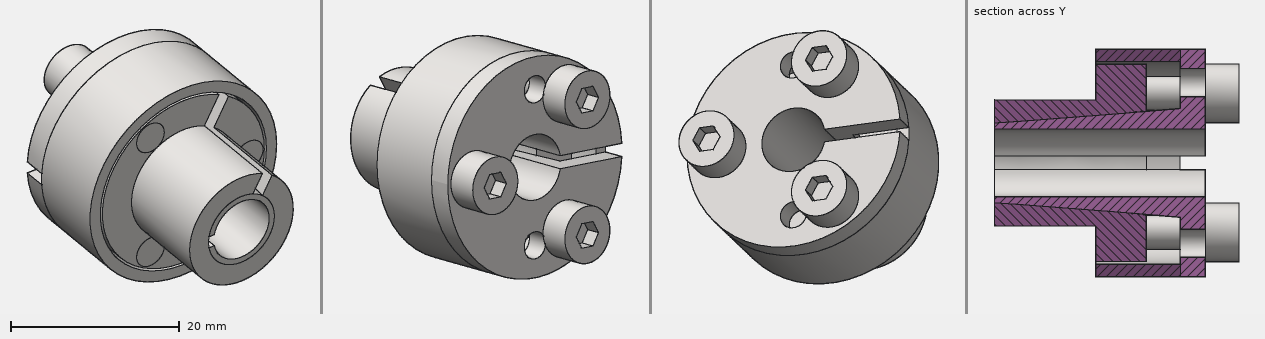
import cadquery as cq
import math


total_length = 29.0
head_length = 4.0
front_plate_thickness = 3.0
cover_length = 10.0
rim_thickness = 6.0
socket_depth = 2.0

outer_diameter = 27.0
cover_bore = 24.0
rim_diameter = 23.4
sleeve_diameter = 15.0
shaft_bore = 8.0
head_diameter = 7.0
shank_diameter = 4.0
jack_hole_diameter = 3.3

taper_radius_at_rim = 6.15
taper_radius_at_end = 4.75

slit_width = 1.6
bolt_circle_radius = 9.5
socket_across_flats = 3.0
screw_angles = (0, 120, 240)
jack_hole_angles = (90, 270)
bush_slit_angle = 180
sleeve_slit_angle = 60

cover_start = head_length + front_plate_thickness
cover_end = cover_start + cover_length
rim_start = cover_end - rim_thickness
taper_slope = (taper_radius_at_rim - taper_radius_at_end) / (total_length - rim_start)
taper_radius_at_plate = taper_radius_at_rim + taper_slope * (rim_start - cover_start)


def cylinder(diameter, start, end):
    """Solid cylinder on the X axis."""
    return cq.Workplane("YZ", origin=(start, 0, 0)).circle(diameter / 2).extrude(end - start)


def on_bolt_circle(body, angle):
    """Move a body from the X axis to the bolt circle."""
    angle_rad = math.radians(angle)
    return body.translate((0, bolt_circle_radius * math.cos(angle_rad), bolt_circle_radius * math.sin(angle_rad)))


def revolved(points):
    """Revolve an outline of (x, radius) points about the X axis."""
    return cq.Workplane("XY").polyline(points).close().revolve(360, (0, 0, 0), (1, 0, 0))


def radial_slit(angle):
    """Full-length slab that opens one side of a ring."""
    slab = cq.Workplane("XY").box(total_length, outer_diameter, slit_width, centered=(False, False, True))
    return slab.rotate((0, 0, 0), (1, 0, 0), angle)


def make_inner_bush():
    """Front plate and tapered shank, split on one side, with two jacking holes."""
    bush = revolved([
        (head_length, shaft_bore / 2),
        (head_length, outer_diameter / 2),
        (cover_start, outer_diameter / 2),
        (cover_start, taper_radius_at_plate),
        (total_length, taper_radius_at_end),
        (total_length, shaft_bore / 2),
    ])
    bush = bush.cut(radial_slit(bush_slit_angle))
    for angle in screw_angles:
        bush = bush.cut(on_bolt_circle(cylinder(shank_diameter, head_length, cover_start), angle))
    for angle in jack_hole_angles:
        bush = bush.cut(on_bolt_circle(cylinder(jack_hole_diameter, head_length, cover_start), angle))
    return bush


def make_outer_sleeve():
    """Rimmed sleeve with a tapered bore, split on one side, that takes the screws in its rim."""
    sleeve = revolved([
        (rim_start, taper_radius_at_rim),
        (rim_start, rim_diameter / 2),
        (cover_end, rim_diameter / 2),
        (cover_end, sleeve_diameter / 2),
        (total_length, sleeve_diameter / 2),
        (total_length, taper_radius_at_end),
    ])
    sleeve = sleeve.cut(radial_slit(sleeve_slit_angle))
    for angle in screw_angles:
        sleeve = sleeve.cut(on_bolt_circle(cylinder(shank_diameter, rim_start, cover_end), angle))
    return sleeve


def make_cover_ring():
    """Plain ring around the sleeve rim, clear of it all round."""
    return cylinder(outer_diameter, cover_start, cover_end).cut(cylinder(cover_bore, cover_start, cover_end))


def make_screw(angle):
    """Socket head screw whose shank ends flush with the back of the rim."""
    head = cylinder(head_diameter, 0, head_length)
    shank = cylinder(shank_diameter, head_length, cover_end)
    socket_across_corners = socket_across_flats / math.cos(math.pi / 6)
    socket = cq.Workplane("YZ").polygon(6, socket_across_corners).extrude(socket_depth)
    return on_bolt_circle(head.union(shank).cut(socket), angle)


inner_bush = make_inner_bush()
outer_sleeve = make_outer_sleeve()
cover_ring = make_cover_ring()
screws = [make_screw(angle) for angle in screw_angles]

result = cq.Compound.makeCompound([
    inner_bush.val(),
    outer_sleeve.val(),
    cover_ring.val(),
    *[screw.val() for screw in screws],
])